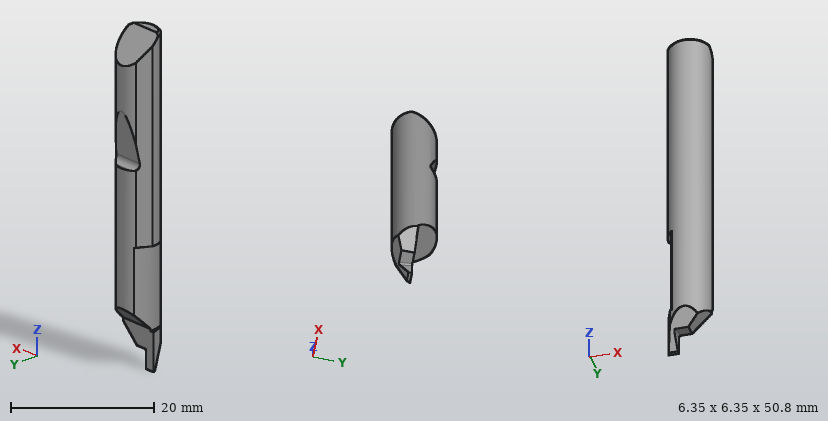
import cadquery as cq
import math

diameter = 6.35
radius = diameter / 2
length = 50.8
end_chamfer = 0.38
oversize = 2 * diameter

top_bevel_y = -1.31

notch_floor_z = 30.75
notch_top_z = 39.4
notch_slope = math.radians(10)
notch_fillet = 0.9

flat_angle = 155
flat_distance = 2.93

relief_bottom_z = 6.03
relief_top_z = 19.1
relief_crest_x = -2.56
relief_half_width = 2.53
relief_edge_x = -math.sqrt(radius**2 - relief_half_width**2)
relief_sagitta = relief_edge_x - relief_crest_x
relief_radius = (relief_half_width**2 + relief_sagitta**2) / (2 * relief_sagitta)

face_top_z = 6.35

land_depth = 0.5
land_rise = 0.1
heel_z = 5.72

tooth_inner_x = -1.62
inner_wall_clearance = math.radians(6)
outer_wall_clearance = math.radians(21.6)

shoulder_z = 2.98
shoulder_fillet = 0.25
nose_bevel_z = 5.87


def cut_along_x(outline):
    """Prism of a YZ outline, running right across the section."""
    return cq.Workplane("YZ").polyline(outline).close().extrude(oversize / 2, both=True)


def make_shank():
    return cq.Workplane("XY").circle(radius).extrude(length).faces(">Z").chamfer(end_chamfer)


def make_top_bevel():
    return cut_along_x([
        (top_bevel_y, length),
        (top_bevel_y + oversize, length - oversize),
        (top_bevel_y + oversize, length),
    ])


def make_notch():
    height = notch_top_z - notch_floor_z
    deepest_y = radius - height * math.tan(notch_slope)
    outer_y = 2 * radius
    notch = cut_along_x([
        (deepest_y, notch_floor_z),
        (radius, notch_top_z),
        (outer_y, notch_top_z),
        (outer_y, notch_floor_z),
    ])
    return notch.edges("<Y").fillet(notch_fillet)


def make_flat():
    slab = cq.Workplane("XY").box(oversize, oversize, length, centered=(False, True, False))
    return slab.translate((flat_distance, 0, 0)).rotate((0, 0, 0), (0, 0, 1), flat_angle)


def make_relief():
    height = relief_top_z - relief_bottom_z
    block = cq.Workplane("XY").box(oversize, oversize, height, centered=(True, True, False))
    block = block.translate((relief_edge_x - oversize / 2, 0, 0))
    core = cq.Workplane("XY").center(relief_crest_x + relief_radius, 0).circle(relief_radius)
    return block.cut(core.extrude(height)).translate((0, 0, relief_bottom_z))


def make_face_relief():
    return cut_along_x([
        (0, 0),
        (0, face_top_z),
        (oversize, face_top_z + oversize),
        (oversize, 0),
    ])


def make_underside():
    return cut_along_x([
        (0, 0),
        (-land_depth, land_rise),
        (-radius, heel_z),
        (-oversize, heel_z),
        (-oversize, 0),
    ])


def make_outer_clearance():
    """Wedge that leans the tooth's outer wall inward behind the cutting face."""
    lean = oversize * math.tan(outer_wall_clearance)
    outline = [(-radius, 0), (-radius + lean, -oversize), (-oversize, -oversize), (-oversize, 0)]
    return cq.Workplane("XY").polyline(outline).close().extrude(relief_bottom_z)


def make_shoulder():
    """Pocket under the nose; its wall beside the tooth leans away from the cutting face."""
    lean = radius * math.tan(inner_wall_clearance)
    outline = [(tooth_inner_x, 0), (tooth_inner_x - lean, -radius), (radius, -radius), (radius, 0)]
    pocket = cq.Workplane("XY").polyline(outline).close().extrude(shoulder_z)
    return pocket.faces(">Z").edges("<X").fillet(shoulder_fillet)


def make_nose_bevel():
    bevel_foot_x = radius - (nose_bevel_z - shoulder_z)
    outline = [(bevel_foot_x, shoulder_z), (radius, nose_bevel_z), (radius, shoulder_z)]
    return cq.Workplane("XZ").polyline(outline).close().extrude(radius)


result = make_shank()
for cutter in (
    make_top_bevel(),
    make_notch(),
    make_flat(),
    make_relief(),
    make_face_relief(),
    make_underside(),
    make_outer_clearance(),
    make_shoulder(),
    make_nose_bevel(),
):
    result = result.cut(cutter)